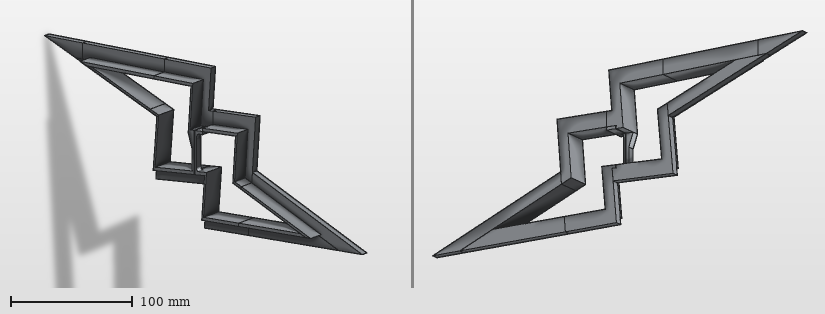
import cadquery as cq
import math

depth_total = 14.0
plate_thickness = 4.0
frame_width = 15.0
wall_thickness = 3.0
plate_width = frame_width - wall_thickness
front_y = -depth_total / 2
back_y = depth_total / 2
plate_front_y = back_y - plate_thickness

left_tip = (-301, -180.5)
upper_left_peak = (14.5, 113.0)
upper_left_notch = (9.5, 54.0)
upper_right_peak = (98.5, 140.0)
upper_right_notch = (92.5, 64.0)
right_tip = (301, 180.5)
lower_right_peak = (2.0, -103.5)
lower_right_notch = (7.0, -42.0)
lower_left_peak = (-90.0, -139.0)
lower_left_notch = (-82.5, -53.5)
outline = [
    left_tip, upper_left_peak, upper_left_notch, upper_right_peak, upper_right_notch,
    right_tip, lower_right_peak, lower_right_notch, lower_left_peak, lower_left_notch,
]

(UPPER_LEFT, UPPER_LEFT_LEG, UPPER_MIDDLE, UPPER_RIGHT_LEG, UPPER_RIGHT,
 LOWER_RIGHT, LOWER_RIGHT_LEG, LOWER_MIDDLE, LOWER_LEFT_LEG, LOWER_LEFT) = range(len(outline))

left_joint_x = -228.5
peak_joint_x = -74.0
middle_joint_x = 18.0
right_joint_x = 86.5

strut_left_x = -2.0
strut_right_x = 6.5
slit_left_x = 2.5
slit_right_x = 3.5
strut_thickness = 4.0
gusset_height = 12.0
strut_foot_radius = 2.0
strut_head_radius = 15.0


def edge_line(edge, inset):
    """A point and the direction of an outline edge moved inward by `inset`."""
    start = outline[edge]
    end = outline[(edge + 1) % len(outline)]
    length = math.dist(start, end)
    along = ((end[0] - start[0]) / length, (end[1] - start[1]) / length)
    inward = (along[1], -along[0])
    return (start[0] + inset * inward[0], start[1] + inset * inward[1]), along


def meet(line_a, line_b):
    """The crossing point of two lines, each a point and a direction."""
    (ax, az), (au, aw) = line_a
    (bx, bz), (bu, bw) = line_b
    reach = ((bx - ax) * bw - (bz - az) * bu) / (au * bw - aw * bu)
    return ax + reach * au, az + reach * aw


def upright(x):
    """The vertical line at an X position."""
    return (x, 0), (0, 1)


def prism(points, y_start, y_end):
    """A polygon in X and Z, extruded along Y."""
    return cq.Workplane("XZ", origin=(0, y_start, 0)).polyline(points).close().extrude(y_start - y_end)


def inner_outline(inset):
    """The outline moved inward; the upper left peak's foot is wider by one wall up to its joint."""
    foot = edge_line(UPPER_MIDDLE, inset + wall_thickness)
    points = []
    for edge in range(len(outline)):
        line = edge_line(edge, inset)
        following = edge_line((edge + 1) % len(outline), inset)
        if edge == UPPER_LEFT_LEG:
            points.append(meet(line, foot))
            points.append(meet(foot, upright(middle_joint_x)))
            points.append(meet(following, upright(middle_joint_x)))
        else:
            points.append(meet(line, following))
    return points


wall_ring = prism(inner_outline(plate_width), front_y, back_y).cut(
    prism(inner_outline(frame_width), front_y, back_y)
)
plate_ring = prism(outline, plate_front_y, back_y).cut(
    prism(inner_outline(plate_width), plate_front_y, back_y)
)
frame = plate_ring.union(wall_ring)


def across(edge, cut_line, width=frame_width):
    """Outer and inner end of a joint that crosses the strip along an edge."""
    return meet(edge_line(edge, 0), cut_line), meet(edge_line(edge, width), cut_line)


def inner_corner(edge, next_width=frame_width):
    """Inner corner between an edge and the next one."""
    following = (edge + 1) % len(outline)
    return meet(edge_line(edge, frame_width), edge_line(following, next_width))


foot_width = frame_width + wall_thickness
leg_direction = edge_line(UPPER_RIGHT_LEG, 0)[1]
right_joint_top = meet(edge_line(LOWER_RIGHT, frame_width), upright(right_joint_x))

left_joint = across(UPPER_LEFT, upright(left_joint_x))
peak_joint = across(UPPER_LEFT, upright(peak_joint_x))
foot_joint = across(UPPER_MIDDLE, upright(middle_joint_x), foot_width)
middle_joint = across(UPPER_MIDDLE, upright(middle_joint_x))
upper_right_joint = across(UPPER_RIGHT, edge_line(UPPER_RIGHT_LEG, 0))
right_tip_joint = across(LOWER_RIGHT, edge_line(UPPER_RIGHT, frame_width))
right_joint = across(LOWER_RIGHT, (right_joint_top, leg_direction))
lower_middle_joint = across(LOWER_MIDDLE, edge_line(LOWER_RIGHT_LEG, 0))
lower_left_joint = across(LOWER_LEFT, edge_line(LOWER_LEFT_LEG, 0))
left_tip_joint = across(LOWER_LEFT, edge_line(UPPER_LEFT, frame_width))


def frame_piece(start_joint, outer_corners, end_joint, inner_corners):
    """The part of the frame between two joints."""
    region = [start_joint[0], *outer_corners, end_joint[0], end_joint[1], *inner_corners, start_joint[1]]
    return frame.intersect(prism(region, front_y, back_y))


upper_wall_line = edge_line(UPPER_MIDDLE, foot_width)
lower_wall_line = edge_line(LOWER_MIDDLE, frame_width)


def left_strut():
    """Left half of the tie, with a gusset that slopes from the foot of the peak's leg."""
    leg_foot = inner_corner(UPPER_LEFT_LEG, foot_width)
    gusset_base = (strut_left_x, leg_foot[1] - gusset_height)
    points = [
        leg_foot,
        meet(upper_wall_line, upright(slit_left_x)),
        meet(lower_wall_line, upright(slit_left_x)),
        meet(lower_wall_line, upright(strut_left_x)),
        gusset_base,
    ]
    return prism(points, front_y, front_y + strut_thickness)


def tangent_fillet(corner, line_direction, radius, vertical):
    """Corner filler between the strut's right side and a wall: tangent points, arc middle."""
    cosine = line_direction[0] * 0 + line_direction[1] * vertical
    half_angle = math.acos(cosine) / 2
    reach = radius / math.tan(half_angle)
    on_wall = (corner[0] + reach * line_direction[0], corner[1] + reach * line_direction[1])
    on_strut = (corner[0], corner[1] + reach * vertical)
    bisector = (line_direction[0], line_direction[1] + vertical)
    size = math.hypot(*bisector)
    gap = radius / math.sin(half_angle) - radius
    middle = (corner[0] + gap * bisector[0] / size, corner[1] + gap * bisector[1] / size)
    return on_wall, middle, on_strut


def right_strut():
    """Right half of the tie, rounded into the walls above and below it."""
    head_corner = meet(upper_wall_line, upright(strut_right_x))
    foot_corner = meet(lower_wall_line, upright(strut_right_x))
    upper_direction = upper_wall_line[1]
    lower_direction = (-lower_wall_line[1][0], -lower_wall_line[1][1])
    head_wall, head_middle, head_strut = tangent_fillet(head_corner, upper_direction, strut_head_radius, -1)
    foot_wall, foot_middle, foot_strut = tangent_fillet(foot_corner, lower_direction, strut_foot_radius, 1)
    return (
        cq.Workplane("XZ", origin=(0, front_y, 0))
        .moveTo(*meet(upper_wall_line, upright(slit_right_x)))
        .lineTo(*head_wall)
        .threePointArc(head_middle, head_strut)
        .lineTo(*foot_strut)
        .threePointArc(foot_middle, foot_wall)
        .lineTo(*meet(lower_wall_line, upright(slit_right_x)))
        .close()
        .extrude(-strut_thickness)
    )


def wall_between(x_start, x_end):
    """The stretches of middle wall, above and below the struts, between two X positions."""
    upper = edge_line(UPPER_MIDDLE, frame_width)
    lower = edge_line(LOWER_MIDDLE, plate_width)
    region = [
        meet(upper, upright(x_start)),
        meet(upper, upright(x_end)),
        meet(lower, upright(x_end)),
        meet(lower, upright(x_start)),
    ]
    return wall_ring.intersect(prism(region, front_y, back_y))


slit = wall_between(slit_left_x, slit_right_x)
right_walls = wall_between(slit_right_x, middle_joint_x)

left_tip_piece = frame_piece(left_tip_joint, [left_tip], left_joint, [])
upper_left_bar = frame_piece(left_joint, [], peak_joint, [])
upper_left_peak_piece = frame_piece(
    peak_joint, [upper_left_peak, upper_left_notch], foot_joint,
    [inner_corner(UPPER_LEFT_LEG, foot_width), inner_corner(UPPER_LEFT)],
)
upper_right_peak_piece = frame_piece(
    middle_joint, [upper_right_peak], upper_right_joint,
    [inner_corner(UPPER_RIGHT_LEG), inner_corner(UPPER_MIDDLE)],
)
right_tip_piece = frame_piece(upper_right_joint, [right_tip], right_tip_joint, [])
lower_right_bar = frame_piece(right_tip_joint, [], right_joint, [])
lower_right_peak_piece = frame_piece(
    right_joint, [lower_right_peak], lower_middle_joint,
    [inner_corner(LOWER_RIGHT_LEG), inner_corner(LOWER_RIGHT)],
)
lower_left_peak_piece = frame_piece(
    lower_middle_joint, [lower_left_peak], lower_left_joint,
    [inner_corner(LOWER_LEFT_LEG), inner_corner(LOWER_MIDDLE)],
)
lower_left_bar = frame_piece(lower_left_joint, [], left_tip_joint, [])

left_zigzag = (
    upper_left_peak_piece.union(lower_left_peak_piece).cut(slit).cut(right_walls).union(left_strut())
)
right_hook = lower_right_peak_piece.union(right_walls).union(right_strut())

bodies = [
    left_tip_piece, upper_left_bar, left_zigzag, upper_right_peak_piece,
    right_tip_piece, lower_right_bar, right_hook, lower_left_bar,
]
result = cq.Compound.makeCompound([body.solids().val() for body in bodies])